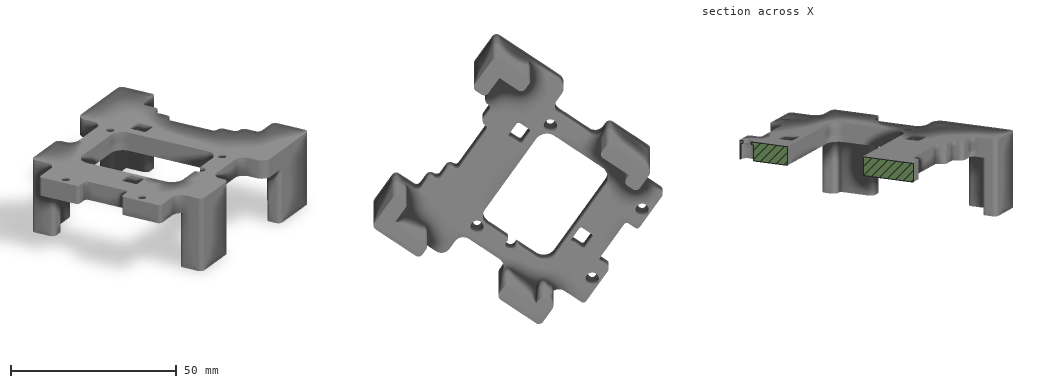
import cadquery as cq
import math

overall_width = 65.6
overall_length = 69.8
overall_height = 24.0
plate_thickness = 6.0
plate_bottom = overall_height - plate_thickness

small_radius = 1.0
corner_radius = 1.5
large_radius = 3.0

rear_half_width = overall_width / 2
rear_arm_width = 12.4
recess_half_width = rear_half_width - rear_arm_width
rear_block_length = 26.5
rear_block_front = overall_length - rear_block_length
upper_step_y = overall_length - 8.35
middle_step_y = overall_length - 11.45
recess_floor_y = overall_length - 14.25
upper_step_half_width = 14.35
middle_step_half_width = 8.75
floor_half_width = 8.1

waist_half_width = 23.95
front_block_half_width = 29.7
front_block_length = 16.0
front_block_rear = 26.2
front_block_front = front_block_rear - front_block_length
neck_half_width = 21.1
front_notch_half_width = 7.4
front_notch_depth = 4.4

window_width = 35.0
window_length = 25.4
window_radius = 4.0
window_center_y = 28.85
slot_width = 3.1
slot_end_x = 19.95
slot_center_y = 28.85

hole_diameter = 2.5
hole_depth = 1.0
counterbore_diameter = 4.0
rear_hole_x = 19.45
rear_hole_y = 40.4
front_hole_x = 13.25
front_hole_y = 2.5
opening_width = 5.5
opening_length = 4.75
opening_radius = 0.75
opening_centers = [(-12.15, 46.75), (4.4, 12.4)]

leg_wall = 5.0
left_rear_leg_length = 13.4
right_rear_leg_length = 17.6
front_leg_width = 8.0


def unit_vector(start, end):
    """Direction from one point to another."""
    length = math.dist(start, end)
    return (end[0] - start[0]) / length, (end[1] - start[1]) / length


def rounded_outline(corners):
    """Closed outline through (x, y, radius) corners, each rounded by a tangent arc."""
    outline = cq.Workplane("XY")
    for index, (x, y, radius) in enumerate(corners):
        before = unit_vector((x, y), corners[index - 1][:2])
        after = unit_vector((x, y), corners[(index + 1) % len(corners)][:2])
        half_angle = math.acos(before[0] * after[0] + before[1] * after[1]) / 2
        setback = radius / math.tan(half_angle)
        corner_to_arc = radius / math.sin(half_angle) - radius
        bisector = unit_vector((0, 0), (before[0] + after[0], before[1] + after[1]))
        arc_start = (x + before[0] * setback, y + before[1] * setback)
        arc_middle = (x + bisector[0] * corner_to_arc, y + bisector[1] * corner_to_arc)
        arc_end = (x + after[0] * setback, y + after[1] * setback)
        outline = outline.moveTo(*arc_start) if index == 0 else outline.lineTo(*arc_start)
        outline = outline.threePointArc(arc_middle, arc_end)
    return outline.close()


def make_plate():
    """Top plate, symmetric about X = 0."""
    right_side = [
        (front_notch_half_width, front_notch_depth, small_radius),
        (front_notch_half_width, 0, small_radius),
        (neck_half_width, 0, small_radius),
        (neck_half_width, front_block_front, large_radius),
        (front_block_half_width, front_block_front, corner_radius),
        (front_block_half_width, front_block_rear, corner_radius),
        (waist_half_width, front_block_rear, large_radius),
        (waist_half_width, rear_block_front, large_radius),
        (rear_half_width, rear_block_front, large_radius),
        (rear_half_width, overall_length, corner_radius),
        (recess_half_width, overall_length, corner_radius),
        (recess_half_width, upper_step_y, corner_radius),
        (upper_step_half_width, upper_step_y, corner_radius),
        (upper_step_half_width, middle_step_y, corner_radius),
        (middle_step_half_width, middle_step_y, corner_radius),
        (floor_half_width, recess_floor_y, small_radius),
    ]
    left_side = [(-x, y, radius) for x, y, radius in reversed(right_side)]
    plate = rounded_outline(right_side + left_side).extrude(plate_thickness)
    return plate.translate((0, 0, plate_bottom))


def rounded_opening(width, length, radius, center):
    """Cutter for a rectangular opening through the plate."""
    cutter = cq.Workplane("XY").rect(width, length).extrude(overall_height)
    return cutter.edges("|Z").fillet(radius).translate((*center, 0))


def make_openings():
    """Cutter for the window, its slot, the rectangular openings and the counterbored screw holes."""
    cutter = rounded_opening(window_width, window_length, window_radius, (0, window_center_y))
    slot = cq.Workplane("XY").center(slot_end_x / 2, slot_center_y)
    cutter = cutter.union(slot.slot2D(slot_end_x, slot_width).extrude(overall_height))
    for center in opening_centers:
        cutter = cutter.union(rounded_opening(opening_width, opening_length, opening_radius, center))
    hole_centers = []
    for side in (-1, 1):
        hole_centers.append((side * rear_hole_x, rear_hole_y))
        hole_centers.append((side * front_hole_x, front_hole_y))
    centers = cq.Workplane("XY").pushPoints(hole_centers)
    holes = centers.circle(hole_diameter / 2).extrude(overall_height)
    counterbores = centers.circle(counterbore_diameter / 2).extrude(overall_height - hole_depth)
    return cutter.union(holes).union(counterbores)


def leg_block(inner_x, outer_x, front_y, rear_y):
    """Full-height upright block with rounded vertical edges."""
    width = abs(outer_x - inner_x)
    length = rear_y - front_y
    block = cq.Workplane("XY").box(width, length, overall_height, centered=(True, True, False))
    center = ((inner_x + outer_x) / 2, (front_y + rear_y) / 2, 0)
    return block.edges("|Z").fillet(corner_radius).translate(center)


def make_rear_leg(side, length):
    """L-shaped rear leg: one wall along the outer side, one along the rear edge."""
    outer_x = side * rear_half_width
    side_wall_x = side * (rear_half_width - leg_wall)
    side_wall = leg_block(side_wall_x, outer_x, overall_length - length, overall_length)
    rear_wall_x = side * recess_half_width
    rear_wall = leg_block(rear_wall_x, outer_x, overall_length - leg_wall, overall_length)
    return side_wall.union(rear_wall)


def make_front_leg(side):
    """L-shaped front leg: one wall along the outer side, one along the front of the block."""
    outer_x = side * front_block_half_width
    side_wall_x = side * (front_block_half_width - leg_wall)
    front_wall_x = side * (front_block_half_width - front_leg_width)
    side_wall = leg_block(side_wall_x, outer_x, front_block_front, front_block_rear)
    front_wall = leg_block(front_wall_x, outer_x, front_block_front, front_block_front + leg_wall)
    return side_wall.union(front_wall)


result = make_plate().cut(make_openings())
for side, rear_leg_length in ((-1, left_rear_leg_length), (1, right_rear_leg_length)):
    result = result.union(make_rear_leg(side, rear_leg_length))
    result = result.union(make_front_leg(side))